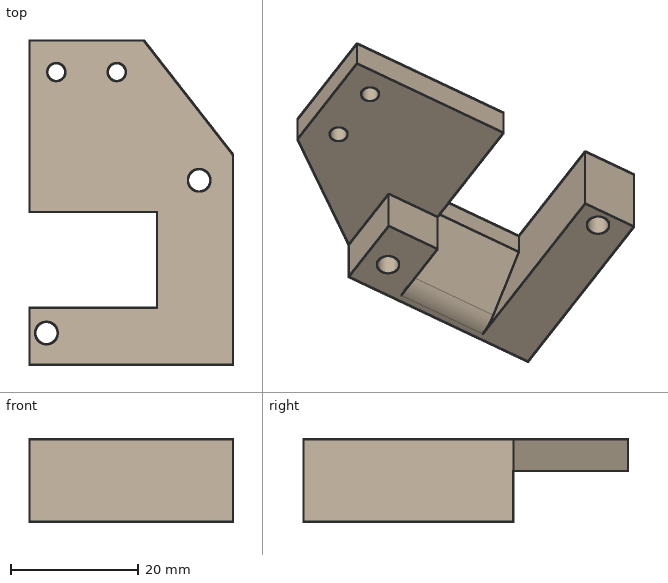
import cadquery as cq

width = 32.05
length = 51.0
height = 13.0

plate_thickness = 5.0
corner_start_x = 18.0
shoulder_y = 33.0

inner_wall_width = 12.0
notch_depth = width - inner_wall_width
notch_front_y = 9.0
notch_back_y = 24.0

back_block_x = 19.95

lip_thickness = 4.0
undercut_round_radius = 4.5

small_hole_diameter = 2.8
small_hole_spacing = 9.5
small_hole_x = 4.25
small_hole_y = 46.0
large_hole_diameter = 3.5
front_large_hole = (2.7, 5.0)
back_large_hole = (26.7, 29.0)


def make_box(x_min, x_max, y_min, y_max, z_min, z_max):
    """Box given by its limits along each axis."""
    size = (x_max - x_min, y_max - y_min, z_max - z_min)
    return cq.Workplane("XY").box(*size, centered=False).translate((x_min, y_min, z_min))


def make_plate():
    """Upper plate outline: rectangle with its back right corner cut off at a slant."""
    outline = [
        (0, 0),
        (width, 0),
        (width, shoulder_y),
        (corner_start_x, length),
        (0, length),
    ]
    plate = cq.Workplane("XY").polyline(outline).close().extrude(plate_thickness)
    return plate.translate((0, 0, height - plate_thickness))


def make_lower_blocks():
    """Full-width front leg, and the shorter block behind the notch."""
    front_leg = make_box(0, width, 0, notch_front_y, 0, height)
    back_block = make_box(back_block_x, width, notch_back_y, shoulder_y, 0, height)
    return front_leg.union(back_block)


def make_bridge():
    """Web joining the two lower blocks, undercut at 45 degrees with a rounded toe."""
    slope_height = height - lip_thickness
    toe_x = notch_depth + slope_height
    profile = [
        (notch_depth, height),
        (notch_depth, slope_height),
        (toe_x, 0),
        (width, 0),
        (width, height),
    ]
    bridge = cq.Workplane("XZ", origin=(0, notch_back_y, 0)).polyline(profile).close()
    bridge = bridge.extrude(notch_back_y - notch_front_y)
    toe_edge = cq.selectors.NearestToPointSelector((toe_x, (notch_front_y + notch_back_y) / 2, 0))
    return bridge.edges(toe_edge).fillet(undercut_round_radius)


def cut_holes(body, centers, diameter):
    """Drill vertical holes through the whole body."""
    drills = cq.Workplane("XY").pushPoints(centers).circle(diameter / 2).extrude(height)
    return body.cut(drills)


notch_band = make_box(0, width, notch_front_y, notch_back_y, 0, height)
body = make_plate().cut(notch_band)
body = body.union(make_lower_blocks()).union(make_bridge())

small_holes = [(small_hole_x + i * small_hole_spacing, small_hole_y) for i in range(2)]
body = cut_holes(body, small_holes, small_hole_diameter)
body = cut_holes(body, [front_large_hole, back_large_hole], large_hole_diameter)

result = body.clean()